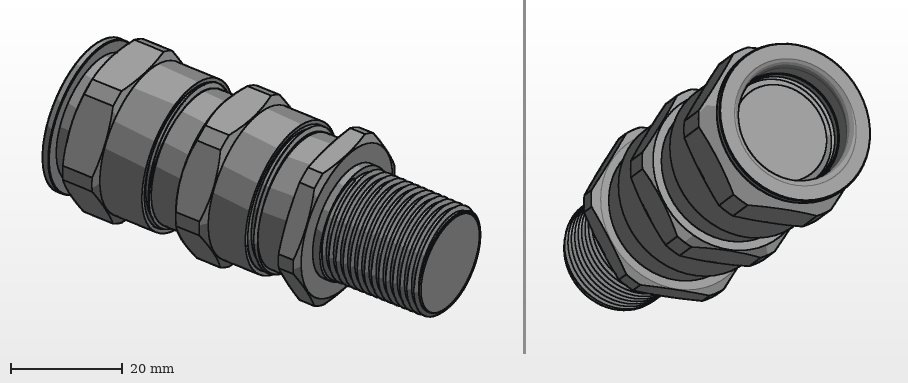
import cadquery as cq
import math


HEX_FLATS = 30.0
HEX_CORNER_D = 33.0
SLEEVE_D = 29.7
BARREL_D = 26.45

FLANGE_D = 29.7
FLANGE_LENGTH = 1.5
FLANGE_CHAMFER = 0.15
NECK_D = 24.8
RING_BORE_D = 21.3
RING_LIP_DEPTH = 1.25
RING_END = 4.35

NUT_START = 3.6
NUT_CONE_END = 5.5
NUT_CHAMFER_START = 11.8
NUT_HEX_END = 12.45
NUT_END = 21.5
NUT_BORE_D = 20.85
NUT_CAVITY_START = 5.75

PLUG_START = 6.45
PLUG_CONE_END = 7.0
PLUG_FACE_D = 18.3
PLUG_NOSE_D = 20.7

MIDDLE_START = 10.9
MIDDLE_HEX_START = 28.7
MIDDLE_HEX_CORNER_START = 29.8
MIDDLE_HEX_CORNER_END = 34.85
MIDDLE_HEX_END = 35.7
MIDDLE_END = 43.6

ENTRY_START = 36.55
ENTRY_HEX_START = 51.4
ENTRY_HEX_CORNER_START = 51.8
ENTRY_HEX_CORNER_END = 55.0
ENTRY_HEX_END = 55.6
COLLAR_D = 22.25
COLLAR_END = 57.2
ENTRY_END = 77.8
TIP_CHAMFER = 0.2

JOINT_ROOT_D = 26.3
JOINT_CREST_D = 28.15
JOINT_PITCH = 1.55
JOINT_BASE_WIDTH = 0.9
JOINT_TURNS = 4
MIDDLE_CREST_X = 21.9
MIDDLE_THREAD_END = 22.4
ENTRY_CREST_X = 44.6
ENTRY_THREAD_END = 45.3

TAPER_ROOT_D = 19.9
TAPER_CREST_D = 21.6
TAPER_DROP = 0.2
TAPER_BASE_WIDTH = 1.0
TAPER_CREST_X = 58.5
TAPER_LAST_CREST_X = 76.6
TAPER_CREST_SPACES = 12
TAPER_PITCH = (TAPER_LAST_CREST_X - TAPER_CREST_X) / TAPER_CREST_SPACES
TAPER_TURNS = TAPER_CREST_SPACES + 3

RIDGE_SINK = 0.15
RIDGE_CLEARANCE = 0.4


def turned(outline):
    """Solid of revolution about X from (x, radius) points."""
    return cq.Workplane("XY").polyline(outline).close().revolve(360, (0, 0, 0), (1, 0, 0))


def cylinder(start, end, diameter):
    return cq.Workplane("YZ", origin=(start, 0, 0)).circle(diameter / 2).extrude(end - start)


def hexagon(start, corner_start, corner_end, end, start_d, end_d):
    """Hexagon with flats facing +Z and -Z, its corners rounded and coned at both ends."""
    across_corners = HEX_FLATS / math.cos(math.pi / 6)
    prism = cq.Workplane("YZ", origin=(start, 0, 0)).polygon(6, across_corners).extrude(end - start)
    corner_r = HEX_CORNER_D / 2
    envelope = turned([
        (start, 0),
        (start, start_d / 2),
        (corner_start, corner_r),
        (corner_end, corner_r),
        (end, end_d / 2),
        (end, 0),
    ])
    return prism.intersect(envelope)


def thread_ridge(crest_x, turns, pitch, root_d, crest_d, base_width, taper=0.0):
    """Right-hand helical V ridge about X, starting on the +Z side with its crest at crest_x.

    root_d and crest_d are the diameters at crest_x; taper is the cone half angle in degrees.
    """
    base_r = root_d / 2 - RIDGE_SINK
    if taper > 0:
        helix = cq.Wire.makeHelix(pitch, turns * pitch, base_r, angle=-taper)
    else:
        helix = cq.Wire.makeHelix(pitch, turns * pitch, base_r)
    ridge = (
        cq.Workplane("XZ")
        .polyline([
            (base_r, -base_width / 2),
            (crest_d / 2, 0),
            (base_r, base_width / 2),
        ])
        .close()
        .sweep(cq.Workplane(helix), isFrenet=True)
    )
    upright = ridge.rotate((0, 0, 0), (0, 1, 0), 90).rotate((0, 0, 0), (1, 0, 0), 180)
    return upright.translate((crest_x, 0, 0))


def joint_thread(crest_x, end):
    """Threaded length of a joint: a few turns up to a crest near the plain barrel."""
    first_crest = crest_x - (JOINT_TURNS - 1) * JOINT_PITCH
    ridge = thread_ridge(
        first_crest, JOINT_TURNS, JOINT_PITCH, JOINT_ROOT_D, JOINT_CREST_D, JOINT_BASE_WIDTH
    )
    return ridge.intersect(cylinder(first_crest - JOINT_PITCH, end, SLEEVE_D))


def make_seal_ring():
    flange_r = FLANGE_D / 2
    ring = turned([
        (0, 0),
        (0, flange_r - FLANGE_CHAMFER),
        (FLANGE_CHAMFER, flange_r),
        (FLANGE_LENGTH - FLANGE_CHAMFER, flange_r),
        (FLANGE_LENGTH, flange_r - FLANGE_CHAMFER),
        (FLANGE_LENGTH, NECK_D / 2),
        (RING_END, NECK_D / 2),
        (RING_END, 0),
    ])
    lip_r = NECK_D / 2
    bore_r = RING_BORE_D / 2
    lip_width = lip_r - bore_r
    bore = (
        cq.Workplane("XY")
        .moveTo(0, 0)
        .lineTo(0, lip_r)
        .threePointArc(
            (RING_LIP_DEPTH * (1 - math.sqrt(0.5)), lip_r - lip_width * math.sqrt(0.5)),
            (RING_LIP_DEPTH, bore_r),
        )
        .lineTo(RING_END, bore_r)
        .lineTo(RING_END, 0)
        .close()
        .revolve(360, (0, 0, 0), (1, 0, 0))
    )
    return ring.cut(bore)


def make_rear_nut():
    nut = hexagon(NUT_START, NUT_CONE_END, NUT_CHAMFER_START, NUT_HEX_END, NECK_D, SLEEVE_D)
    nut = nut.union(cylinder(NUT_HEX_END, NUT_END, SLEEVE_D))
    nut = nut.cut(cylinder(NUT_START, RING_END, NECK_D))
    nut = nut.cut(cylinder(RING_END, NUT_CAVITY_START, NUT_BORE_D))
    return nut.cut(cylinder(NUT_CAVITY_START, NUT_END, JOINT_CREST_D))


def make_plug():
    return turned([
        (PLUG_START, 0),
        (PLUG_START, PLUG_FACE_D / 2),
        (PLUG_CONE_END, PLUG_NOSE_D / 2),
        (PLUG_CONE_END, JOINT_CREST_D / 2),
        (MIDDLE_START, JOINT_CREST_D / 2),
        (MIDDLE_START, 0),
    ])


def make_middle_body():
    body = cylinder(MIDDLE_START, MIDDLE_THREAD_END, JOINT_ROOT_D)
    body = body.union(joint_thread(MIDDLE_CREST_X, MIDDLE_THREAD_END))
    body = body.union(cylinder(MIDDLE_THREAD_END, MIDDLE_HEX_START, BARREL_D))
    body = body.union(hexagon(
        MIDDLE_HEX_START, MIDDLE_HEX_CORNER_START, MIDDLE_HEX_CORNER_END, MIDDLE_HEX_END,
        SLEEVE_D, SLEEVE_D,
    ))
    body = body.union(cylinder(MIDDLE_HEX_END, MIDDLE_END, SLEEVE_D))
    return body.cut(cylinder(ENTRY_START, MIDDLE_END, JOINT_CREST_D))


def tapered_cone(start_d, tip_chamfer):
    """Cone from the collar to the tip with the shared taper and a chamfered tip."""
    tip_r = start_d / 2 - TAPER_DROP
    return turned([
        (COLLAR_END, 0),
        (COLLAR_END, start_d / 2),
        (ENTRY_END - tip_chamfer, tip_r),
        (ENTRY_END, tip_r - tip_chamfer),
        (ENTRY_END, 0),
    ])


def make_entry_body():
    body = cylinder(ENTRY_START, ENTRY_THREAD_END, JOINT_ROOT_D)
    body = body.union(joint_thread(ENTRY_CREST_X, ENTRY_THREAD_END))
    body = body.union(cylinder(ENTRY_THREAD_END, ENTRY_HEX_START, BARREL_D))
    body = body.union(hexagon(
        ENTRY_HEX_START, ENTRY_HEX_CORNER_START, ENTRY_HEX_CORNER_END, ENTRY_HEX_END,
        SLEEVE_D, SLEEVE_D,
    ))
    body = body.union(cylinder(ENTRY_HEX_END, COLLAR_END, COLLAR_D))
    body = body.union(tapered_cone(TAPER_ROOT_D, TIP_CHAMFER))
    taper = math.degrees(math.atan2(TAPER_DROP, ENTRY_END - COLLAR_END))
    ridge = thread_ridge(
        TAPER_CREST_X - TAPER_PITCH, TAPER_TURNS, TAPER_PITCH, TAPER_ROOT_D, TAPER_CREST_D,
        TAPER_BASE_WIDTH, taper,
    )
    ridge_height = (TAPER_CREST_D - TAPER_ROOT_D) / 2
    tip_limit = tapered_cone(TAPER_CREST_D + 2 * RIDGE_CLEARANCE, ridge_height + TIP_CHAMFER)
    return body.union(ridge.intersect(tip_limit))


seal_ring = make_seal_ring()
rear_nut = make_rear_nut()
plug = make_plug()
middle_body = make_middle_body()
entry_body = make_entry_body()

result = cq.Compound.makeCompound([
    seal_ring.val(),
    rear_nut.val(),
    plug.val(),
    middle_body.val(),
    entry_body.val(),
])